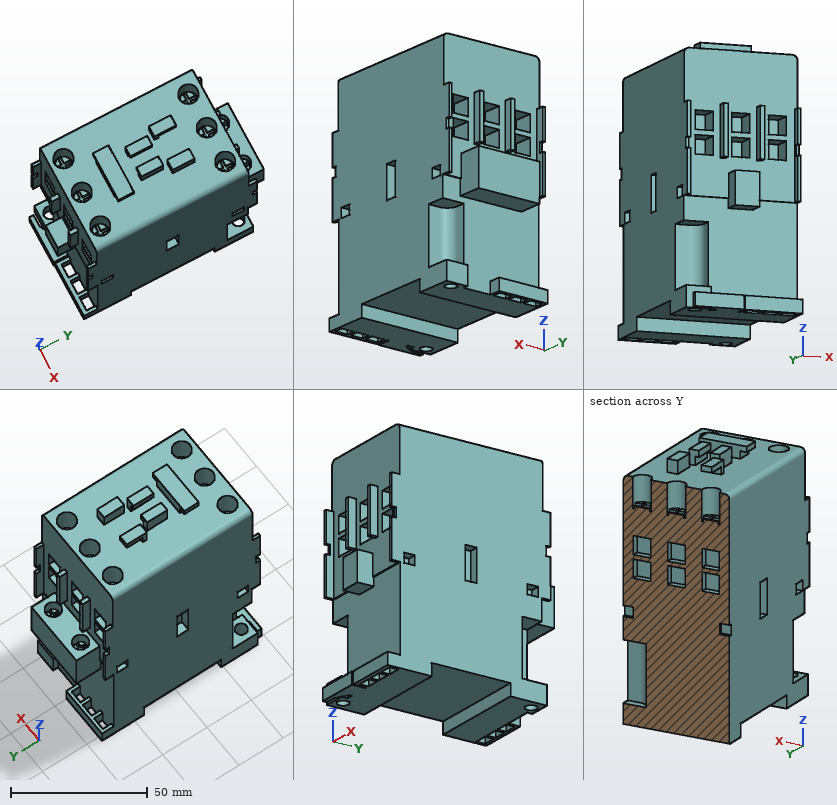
import cadquery as cq

width = 44.6
body_top = 97.5
edge_radius = 2.2
upper_depth = 63.3
lower_depth = 62.5
split_height = 42.2
rail_gap = 34.8
foot_height = 5.3

pole_pitch = 14.4
screw_y = 26.0
screw_bore = 7.5
screw_head = 6.5
screw_bore_depth = 12.4
head_height = 2.1
drive_slot_width = 1.0
drive_slot_depth = 1.0
window_width = 7.0
window_height = 7.2
window_depth = 8.3
window_bottoms = (57.9, 67.1)
fin_reach = 70.2
fin_top = 77.0
side_fin_thickness = 1.2
inner_fin_thickness = 1.8
inner_fin_bottom = 57.0
notch_bottom = 59.4
notch_height = 4.1
notch_depth = 1.9

front_block_size = (9.5, 13.0)
front_block_bottom = 38.5
front_block_face = 38.5
coil_block_width = 28.3
coil_block_bottom = 35.5
coil_block_top = 52.0
coil_block_face = 42.2
coil_screw_x = 8.6
coil_screw_y = 36.3
coil_bore = 6.4
coil_head = 5.4
coil_bore_depth = 6.2

slot_depth = 4.1
center_slot = (5.1, 14.2)
center_slot_bottom = 41.5
clip_slot = (4.8, 4.1)
clip_slot_bottom = 42.2
clip_slot_y = 27.2

ear_width = 9.7
ear_height = 8.3
front_ear_face = 33.9
rear_ear_face = 33.5
pocket_top = 32.9
pocket_depth = 8.6
pocket_radius = 4.5
mount_hole = 4.9
mount_x = 17.4
front_mount_y = 30.0
rear_mount_y = 29.8

frame_inner_end = 0.2
frame_inner_face = 35.1
front_frame_face = 37.0
rear_frame_face = 36.5
rib_thickness = 1.5
rib_count = 4
lever_right = -0.8
lever_left = -20.1
lever_face = -37.3
lever_back = -35.4
lever_arc_start = (-15.3, lever_back)
lever_arc_middle = (-12.4, -33.9)
lever_arc_end = (-9.9, -32.4)

bar_size = (20.0, 6.5)
bar_y = -12.8
bar_stem_length = 14.4
stop_top = 102.8
overhang_height = 100.5
stop_x = 7.1
stop_size = (4.3, 9.1)
stop_y = 11.4
stop_stem_depth = 1.9
slider_x = 4.3
slider_size = (3.9, 9.1)
slider_y = 0.0
slider_top = 103.5
slider_overhang_height = 100.9
slider_stem_width = 2.4

half_width = width / 2
half_lower = lower_depth / 2
half_fins = fin_reach / 2


def box(x_range, y_range, z_range):
    """Block spanning the given low and high limits on each axis."""
    size = [high - low for low, high in (x_range, y_range, z_range)]
    corner = (x_range[0], y_range[0], z_range[0])
    return cq.Workplane("XY").box(*size, centered=False).translate(corner)


def centered_box(center, size, z_range):
    """Block centred on a plan position, with a plan size and height limits."""
    (x, y), (dx, dy) = center, size
    return box((x - dx / 2, x + dx / 2), (y - dy / 2, y + dy / 2), z_range)


def half_turn(part):
    return part.rotate((0, 0, 0), (0, 0, 1), 180)


def housing():
    upper = centered_box((0, 0), (width, upper_depth), (split_height, body_top))
    upper = upper.edges("|Y and >Z").fillet(edge_radius)
    lower = centered_box((0, 0), (width, lower_depth), (0, split_height))
    rail = centered_box((0, 0), (width, rail_gap), (0, foot_height))
    return upper.union(lower.cut(rail))


def fins():
    """Thin walls along the sides and between the poles, on both terminal faces."""
    side_plate = centered_box((0, 0), (width, fin_reach), (split_height, fin_top))
    inner_width = width - 2 * side_fin_thickness
    hollow = centered_box((0, 0), (inner_width, fin_reach), (split_height, fin_top))
    walls = side_plate.cut(hollow)
    for y in (-half_fins, half_fins):
        walls = walls.cut(
            centered_box((0, y), (width, 2 * notch_depth), (notch_bottom, notch_bottom + notch_height))
        )
    for x in (-pole_pitch / 2, pole_pitch / 2):
        walls = walls.union(
            centered_box((x, 0), (inner_fin_thickness, fin_reach), (inner_fin_bottom, fin_top))
        )
    return walls


def wire_windows():
    cutters = cq.Workplane("XY")
    for x in (-pole_pitch, 0, pole_pitch):
        for y in (-upper_depth / 2, upper_depth / 2):
            for z in window_bottoms:
                cutters = cutters.union(
                    centered_box((x, y), (window_width, 2 * window_depth), (z, z + window_height))
                )
    return cutters


def screw_recess(x, y, top, bore, depth, head):
    """Cutter for a round bore that leaves a cross-slotted screw head standing on its floor."""
    floor = top - depth
    head_top = floor + head_height
    slot_range = (head_top - drive_slot_depth, head_top)
    screw = cq.Workplane("XY").workplane(offset=floor).center(x, y).circle(head / 2).extrude(head_height)
    screw = screw.cut(centered_box((x, y), (head, drive_slot_width), slot_range))
    screw = screw.cut(centered_box((x, y), (drive_slot_width, head), slot_range))
    hole = cq.Workplane("XY").workplane(offset=floor).center(x, y).circle(bore / 2).extrude(depth)
    return hole.cut(screw)


def main_screws():
    cutters = cq.Workplane("XY")
    for x in (-pole_pitch, 0, pole_pitch):
        for y in (-screw_y, screw_y):
            cutters = cutters.union(
                screw_recess(x, y, body_top, screw_bore, screw_bore_depth, screw_head)
            )
    return cutters


def front_block():
    block_width, block_height = front_block_size
    return box(
        (-block_width / 2, block_width / 2),
        (-front_block_face, -half_lower),
        (front_block_bottom, front_block_bottom + block_height),
    )


def coil_block():
    """Terminal block on the rear face."""
    return box(
        (-coil_block_width / 2, coil_block_width / 2),
        (half_lower, coil_block_face),
        (coil_block_bottom, coil_block_top),
    )


def coil_screws():
    cutters = cq.Workplane("XY")
    for x in (-coil_screw_x, coil_screw_x):
        cutters = cutters.union(
            screw_recess(x, coil_screw_y, coil_block_top, coil_bore, coil_bore_depth, coil_head)
        )
    return cutters


def side_slots():
    """Blind slots in both side walls: one tall slot between two small clip slots."""
    cutters = cq.Workplane("XY")
    slots = (
        (0, center_slot, center_slot_bottom),
        (-clip_slot_y, clip_slot, clip_slot_bottom),
        (clip_slot_y, clip_slot, clip_slot_bottom),
    )
    for x in (-half_width, half_width):
        for y, (length, height), bottom in slots:
            cutters = cutters.union(
                centered_box((x, y), (2 * slot_depth, length), (bottom, bottom + height))
            )
    return cutters


def ear(face):
    """Mounting ear at the front left corner."""
    return box((-half_width, ear_width - half_width), (-face, -rail_gap / 2), (0, ear_height))


def ear_cutter(hole_y):
    """Screwdriver pocket above the front left ear, and the hole through the ear."""
    pocket = box(
        (-half_width, ear_width - half_width),
        (-half_lower, pocket_depth - half_lower),
        (ear_height, pocket_top),
    )
    pocket = pocket.edges("|Z and >X and >Y").fillet(pocket_radius)
    hole = cq.Workplane("XY").center(-mount_x, -hole_y).circle(mount_hole / 2).extrude(ear_height)
    return pocket.union(hole)


def foot_frame(face):
    """Open ribbed frame along the right half of the front foot."""
    frame = box((-frame_inner_end, half_width), (-face, -frame_inner_face), (0, foot_height))
    rib_pitch = (half_width + frame_inner_end - rib_thickness) / (rib_count - 1)
    for i in range(rib_count):
        rib_left = i * rib_pitch - frame_inner_end
        frame = frame.union(
            box((rib_left, rib_left + rib_thickness), (-face, -half_lower), (0, foot_height))
        )
    return frame


def release_lever():
    return (
        cq.Workplane("XY")
        .moveTo(lever_left, lever_face)
        .lineTo(lever_right, lever_face)
        .lineTo(lever_right, -half_lower)
        .lineTo(lever_arc_end[0], -half_lower)
        .lineTo(*lever_arc_end)
        .threePointArc(lever_arc_middle, lever_arc_start)
        .lineTo(lever_left, lever_back)
        .close()
        .extrude(foot_height)
    )


def top_bar():
    """T-shaped bar whose cap overhangs at both ends."""
    length, depth = bar_size
    cap = centered_box((0, bar_y), (length, depth), (overhang_height, stop_top))
    stem = centered_box((0, bar_y), (bar_stem_length, depth), (body_top, overhang_height))
    return cap.union(stem)


def stops():
    """Rear pair of blocks: the left one overhangs to the rear, the right one is solid."""
    blocks = cq.Workplane("XY")
    for x in (-stop_x, stop_x):
        blocks = blocks.union(centered_box((x, stop_y), stop_size, (body_top, stop_top)))
    undercut_front = stop_y - stop_size[1] / 2 + stop_stem_depth
    undercut = box(
        (-stop_x - stop_size[0] / 2, -stop_x + stop_size[0] / 2),
        (undercut_front, stop_y + stop_size[1] / 2),
        (body_top, overhang_height),
    )
    return blocks.cut(undercut)


def sliders():
    """Middle pair of blocks whose caps overhang towards each other."""
    slider_width, slider_length = slider_size
    outer_x = slider_x + slider_width / 2
    cap = centered_box((slider_x, slider_y), slider_size, (slider_overhang_height, slider_top))
    stem = box(
        (outer_x - slider_stem_width, outer_x),
        (slider_y - slider_length / 2, slider_y + slider_length / 2),
        (body_top, slider_overhang_height),
    )
    slider = cap.union(stem)
    return slider.union(slider.mirror("YZ"))


result = (
    housing()
    .union(fins())
    .union(front_block())
    .union(coil_block())
    .union(ear(front_ear_face))
    .union(half_turn(ear(rear_ear_face)))
    .union(foot_frame(front_frame_face))
    .union(half_turn(foot_frame(rear_frame_face)))
    .union(release_lever())
    .union(top_bar())
    .union(stops())
    .union(sliders())
    .cut(wire_windows())
    .cut(main_screws())
    .cut(coil_screws())
    .cut(side_slots())
    .cut(ear_cutter(front_mount_y))
    .cut(half_turn(ear_cutter(rear_mount_y)))
)